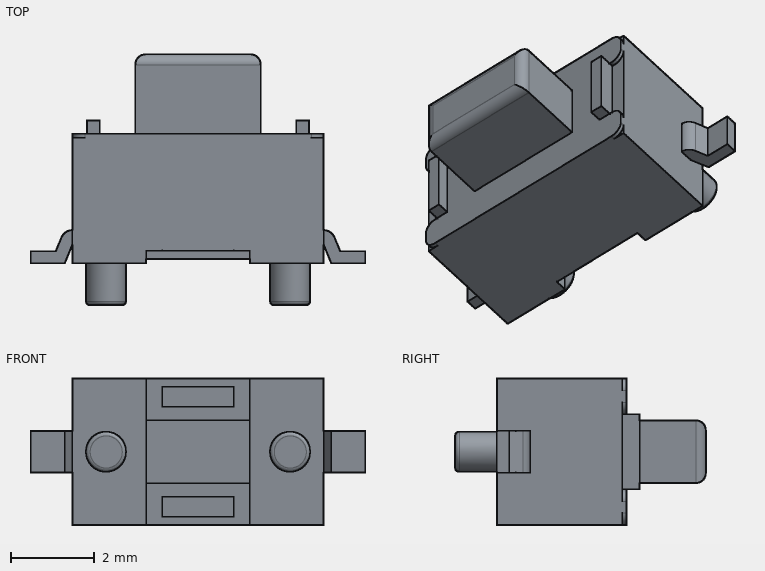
import cadquery as cq
import math


body_width = 6.0
body_height = 3.5
body_depth = 3.0

relief_width = 2.48
relief_depth = 0.3
bar_height = 1.5
bar_setback = 0.1
pocket_width = 1.71
pocket_height = 0.48
pocket_depth = 0.1
pocket_offset = 1.31

pin_diameter = 0.96
pin_length = 1.0
pin_spacing = 4.4
pin_fillet = 0.1

cover_thickness = 0.1
ear_radius = 0.29
tongue_height = 1.8
tongue_thickness = 0.31
tongue_rise = 0.31
tongue_inset = 0.34

button_width = 3.0
button_height = 1.5
button_top = 5.0
button_fillet = 0.25

terminal_span = 8.0
terminal_height = 1.0
terminal_thickness = 0.3
terminal_top = 0.8
terminal_root_bottom = 0.45
foot_inner_top = 3.4
foot_inner_bottom = 3.18
bend_radius = 0.3

cover_top = body_depth + cover_thickness
half_width = body_width / 2


def block(width, height, y_start, y_end, x=0, z=0):
    """Box centred on (x, z), reaching from y_start to y_end."""
    depth = y_end - y_start
    return cq.Workplane("XY").box(width, depth, height).translate((x, y_start + depth / 2, z))


def make_housing():
    housing = block(body_width, body_height, 0, body_depth)
    housing = housing.cut(block(relief_width, body_height, 0, relief_depth))
    housing = housing.union(block(relief_width, bar_height, bar_setback, relief_depth))
    pocket_floor = relief_depth + pocket_depth
    for side in (-1, 1):
        pocket = block(pocket_width, pocket_height, relief_depth, pocket_floor, z=side * pocket_offset)
        housing = housing.cut(pocket)
    return housing


def make_pin(x):
    pin = cq.Workplane("XZ").center(x, 0).circle(pin_diameter / 2).extrude(pin_length)
    return pin.faces("<Y").edges().fillet(pin_fillet)


def make_cover():
    cover = block(body_width, body_height, body_depth, cover_top)
    for side in (-1, 1):
        notch_x = side * (half_width - tongue_inset / 2)
        cover = cover.cut(block(tongue_inset, tongue_height, body_depth, cover_top, x=notch_x))
    cover = cover.edges("|Y and (<X or >X)").fillet(ear_radius)
    for side in (-1, 1):
        tongue_x = side * (half_width - tongue_inset - tongue_thickness / 2)
        tongue_top = cover_top + tongue_rise
        cover = cover.union(block(tongue_thickness, tongue_height, body_depth, tongue_top, x=tongue_x))
    return cover


def make_button():
    button = block(button_width, button_height, body_depth, button_top)
    return button.faces(">Y").edges().fillet(button_fillet)


def make_terminal():
    """Terminal on the +X side; its upper bend is tangent to the sloped leg."""
    slope = math.atan2(terminal_root_bottom, foot_inner_bottom - half_width)
    bend_start_y = terminal_top - bend_radius * (1 - math.cos(slope))
    bend_start_x = foot_inner_top - (bend_start_y - terminal_thickness) / math.tan(slope)
    bend_end_x = bend_start_x - bend_radius * math.sin(slope)
    tip_x = terminal_span / 2
    return (
        cq.Workplane("XY")
        .workplane(offset=-terminal_height / 2)
        .moveTo(half_width, terminal_root_bottom)
        .lineTo(foot_inner_bottom, 0)
        .lineTo(tip_x, 0)
        .lineTo(tip_x, terminal_thickness)
        .lineTo(foot_inner_top, terminal_thickness)
        .lineTo(bend_start_x, bend_start_y)
        .tangentArcPoint((bend_end_x, terminal_top), relative=False)
        .lineTo(bend_end_x, terminal_root_bottom)
        .close()
        .extrude(terminal_height)
    )


terminal = make_terminal()
result = make_housing().union(make_cover()).union(make_button())
result = result.union(terminal).union(terminal.mirror("YZ"))
for side in (-1, 1):
    result = result.union(make_pin(side * pin_spacing / 2))